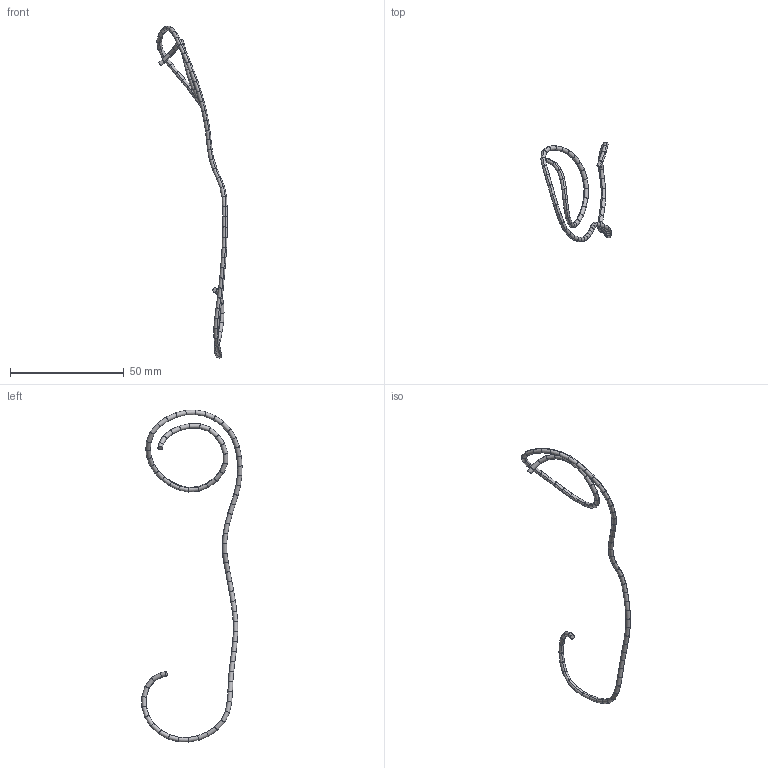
import cadquery as cq
wire_radius = 1.0

full_link_count = 77
end_link_fraction = 0.5

seam_direction = (0, 1, 1)

centre_curve_points = [
    (-14.0, 14.0, 56.3),
    (-6.3, 6.8, 64.5),
    (-4.4, -6.5, 65.1),
    (-1.0, -14.9, 51.1),
    (2.8, -8.9, 41.2),
    (4.6, 0.9, 37.9),
    (2.5, 10.0, 40.9),
    (-2.0, 16.4, 46.9),
    (-8.5, 19.3, 54.6),
    (-14.2, 17.1, 63.7),
    (-12.9, 7.9, 70.5),
    (-9.4, -4.1, 71.7),
    (-5.2, -15.6, 65.0),
    (0.1, -20.7, 52.7),
    (4.6, -20.1, 38.7),
    (7.2, -16.0, 24.8),
    (9.3, -14.3, 11.9),
    (13.5, -15.8, 1.6),
    (14.5, -17.8, -9.5),
    (14.4, -19.2, -21.5),
    (13.6, -18.4, -33.5),
    (12.3, -17.0, -46.4),
    (10.6, -14.4, -62.7),
    (12.1, 1.1, -72.1),
    (10.8, 13.1, -69.4),
    (12.5, 20.4, -60.5),
    (12.9, 19.7, -48.8),
    (10.1, 11.3, -43.2),
]


def joint_points(curve):
    """Points spaced one link apart along the curve, plus the two tips."""
    link_total = full_link_count + 2 * end_link_fraction
    inner_joints = range(full_link_count + 1)
    fractions = [(end_link_fraction + index) / link_total for index in inner_joints]
    return [curve.positionAt(fraction) for fraction in [0, *fractions, 1]]


def wire_section(tip, direction):
    """Round section at the tip, made of two half circles that meet at the seams."""
    plane = cq.Plane(origin=tip, xDir=seam_direction, normal=direction)
    return (
        cq.Workplane(plane)
        .moveTo(wire_radius, 0)
        .threePointArc((0, wire_radius), (-wire_radius, 0))
        .threePointArc((0, -wire_radius), (wire_radius, 0))
        .close()
    )


def bent_wire():
    """Straight links swept along the centre curve, with mitred joints."""
    curve = cq.Edge.makeSpline([cq.Vector(*point) for point in centre_curve_points])
    joints = joint_points(curve)
    path = cq.Wire.makePolygon(joints)
    section = wire_section(joints[0], joints[1] - joints[0])
    return section.sweep(cq.Workplane(path), transition="right", clean=False)


result = bent_wire()